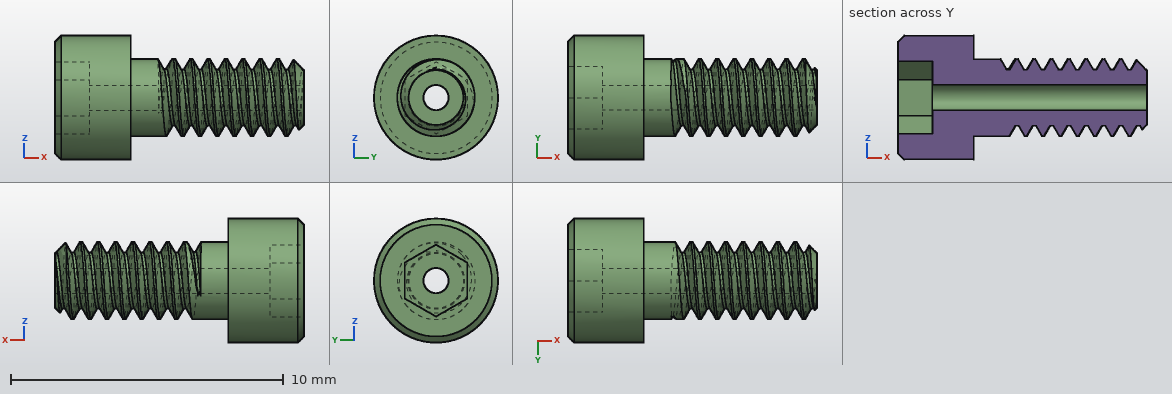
import cadquery as cq
import math

total_length = 9.14
head_length = 2.79
head_radius = 4.56 / 2
head_chamfer = 0.23
shank_radius = 2.84 / 2
tip_chamfer = 0.42

socket_across_flats = 2.285
socket_depth = 1.26
bore_diameter = 0.91

pitches_along_shank = 10
pitch = (total_length - head_length) / pitches_along_shank
thread_depth = 0.38
crest_width = pitch / 8
flank_slope = math.tan(math.radians(30))
root_width = pitch - crest_width - 2 * thread_depth * flank_slope
groove_start = head_length + 1.26
groove_overrun = 0.6 * pitch
section_angle = 14.5
runout_sections = 8
groove_clearance = 0.05

thread_frame = cq.Plane(origin=(groove_start, 0, 0), xDir=(0, 0, 1), normal=(1, 0, 0))


def make_blank():
    """Head and shank turned about X, with a chamfer on both ends."""
    outline = [
        (0, 0),
        (0, head_radius - head_chamfer),
        (head_chamfer, head_radius),
        (head_length, head_radius),
        (head_length, shank_radius),
        (total_length - tip_chamfer, shank_radius),
        (total_length, shank_radius - tip_chamfer),
        (total_length, 0),
    ]
    return cq.Workplane("XZ").polyline(outline).close().revolve(360, (0, 0, 0), (1, 0, 0))


def make_socket():
    """Hexagon with two corners on the Z axis."""
    corner_diameter = socket_across_flats / math.cos(math.radians(30))
    plane = cq.Plane(origin=(0, 0, 0), xDir=(0, 0, 1), normal=(1, 0, 0))
    return cq.Workplane(plane).polygon(6, corner_diameter).extrude(socket_depth)


def make_bore():
    return cq.Workplane("YZ").circle(bore_diameter / 2).extrude(total_length)


def groove_profile(angle, depth):
    """Groove section at an angle in degrees about local z, with its root at the given depth."""
    turn = math.radians(angle)
    root_radius = shank_radius - depth
    outer_radius = shank_radius + groove_clearance
    half_root = root_width / 2
    half_outer = half_root + (outer_radius - root_radius) * flank_slope
    centre = pitch * angle / 360
    section = [
        (root_radius, -half_root),
        (outer_radius, -half_outer),
        (outer_radius, half_outer),
        (root_radius, half_root),
    ]
    points = [
        cq.Vector(radius * math.cos(turn), radius * math.sin(turn), centre + offset)
        for radius, offset in section
    ]
    return cq.Wire.makePolygon(points, close=True)


def make_groove():
    """Helical groove that deepens steadily over its runout and then runs past the tip."""
    groove_length = total_length + groove_overrun - groove_start
    full_depth_sections = math.ceil(360 * groove_length / pitch / section_angle)
    start_depth = -groove_clearance / 2
    sections = []
    for index in range(-runout_sections, full_depth_sections + 1):
        progress = min(1, 1 + index / runout_sections)
        depth = start_depth + progress * (thread_depth - start_depth)
        sections.append(groove_profile(index * section_angle, depth))
    return cq.Workplane(cq.Solid.makeLoft(sections).moved(cq.Location(thread_frame)))


result = make_blank().cut(make_socket()).cut(make_bore()).cut(make_groove())